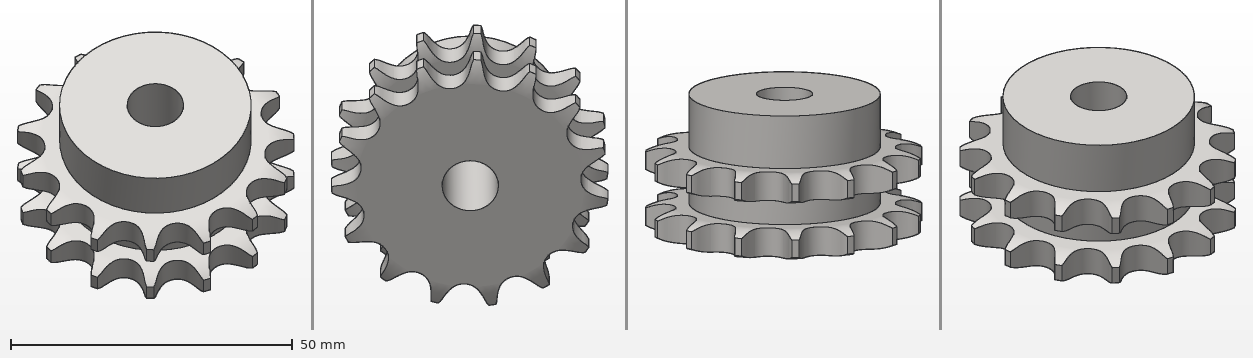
import cadquery as cq
import math


hub_diameter = 34.0
bore_diameter = 10.0
total_height = 25.0

tooth_count = 15
row_thickness = 5.2
row_spacing = 10.2
row_bottoms = (0, row_spacing)

tip_diameter = 49.3
tip_radius = tip_diameter / 2
pitch_radius = 22.9
roller_diameter = 6.35
seating_radius = 3.25
seating_end_angle = math.radians(39)
working_sweep = math.radians(14.3)
working_centre_ratio = 0.8
topping_centre_ratio = 1.4
topping_sweep = math.radians(24)
gap_overshoot = 1.45

crown_start_radius = 20.25
crown_radius = 10.05

tooth_angle = 360 / tooth_count


def crowned_disc():
    """Disc whose two faces curve towards each other near the rim."""
    crown_angle = math.asin((tip_radius - crown_start_radius) / crown_radius)

    def crown_point(angle):
        radius = crown_start_radius + crown_radius * math.sin(angle)
        drop = crown_radius * (1 - math.cos(angle))
        return radius, drop

    _, tip_drop = crown_point(crown_angle)
    mid_radius, mid_drop = crown_point(crown_angle / 2)

    return (
        cq.Workplane("XZ")
        .lineTo(crown_start_radius, 0)
        .threePointArc((mid_radius, mid_drop), (tip_radius, tip_drop))
        .lineTo(tip_radius, row_thickness - tip_drop)
        .threePointArc((mid_radius, row_thickness - mid_drop), (crown_start_radius, row_thickness))
        .lineTo(0, row_thickness)
        .close()
        .revolve(360, (0, 0), (0, 1))
    )


def polar_point(centre, radius, angle):
    """Point at the given angle on a circle."""
    return centre[0] + radius * math.cos(angle), centre[1] + radius * math.sin(angle)


def mirrored(point):
    """Point reflected in the Y axis."""
    return -point[0], point[1]


def tooth_gap():
    """Gap facing +Y: seat, concave working flanks, straights and convex topping flanks, all tangent."""
    roller_centre = (0, pitch_radius)
    seat_bottom = (0, pitch_radius - seating_radius)
    seat_end = polar_point(roller_centre, seating_radius, -seating_end_angle)

    working_offset = working_centre_ratio * roller_diameter
    working_centre = polar_point(roller_centre, working_offset, math.pi - seating_end_angle)
    working_radius = seating_radius + working_offset
    straight_angle = seating_end_angle - working_sweep
    working_middle = polar_point(working_centre, working_radius, -seating_end_angle + working_sweep / 2)
    working_end = polar_point(working_centre, working_radius, -straight_angle)

    topping_offset = topping_centre_ratio * roller_diameter
    topping_centre = polar_point(roller_centre, topping_offset, -math.pi / tooth_count)
    centre_dx = topping_centre[0] - working_centre[0]
    centre_dy = topping_centre[1] - working_centre[1]
    centre_gap = centre_dx * math.cos(straight_angle) - centre_dy * math.sin(straight_angle)
    topping_radius = centre_gap - working_radius
    topping_angle = math.pi - straight_angle
    topping_start = polar_point(topping_centre, topping_radius, topping_angle)
    topping_middle = polar_point(topping_centre, topping_radius, topping_angle - topping_sweep / 2)
    topping_end = polar_point(topping_centre, topping_radius, topping_angle - topping_sweep)

    return (
        cq.Workplane("XY")
        .moveTo(*seat_end)
        .threePointArc(working_middle, working_end)
        .lineTo(*topping_start)
        .threePointArc(topping_middle, topping_end)
        .lineTo(0, tip_radius + gap_overshoot)
        .lineTo(*mirrored(topping_end))
        .threePointArc(mirrored(topping_middle), mirrored(topping_start))
        .lineTo(*mirrored(working_end))
        .threePointArc(mirrored(working_middle), mirrored(seat_end))
        .threePointArc(seat_bottom, seat_end)
        .close()
        .extrude(row_thickness)
    )


def toothed_row():
    """One sprocket row resting on Z = 0, with a gap facing +Y."""
    row = crowned_disc()
    gap = tooth_gap()
    for index in range(tooth_count):
        row = row.cut(gap.rotate((0, 0, 0), (0, 0, 1), index * tooth_angle))
    return row


result = cq.Workplane("XY").circle(hub_diameter / 2).extrude(total_height)

row = toothed_row()
for bottom in row_bottoms:
    result = result.union(row.translate((0, 0, bottom)))

bore = cq.Workplane("XY").circle(bore_diameter / 2).extrude(total_height)
result = result.cut(bore)